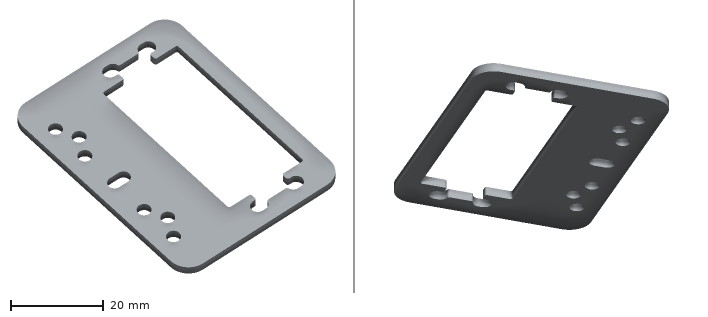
import cadquery as cq

LENGTH = 60.0
WIDTH = 45.0
THICKNESS = 2.05
CORNER_RADIUS = 5.0

WINDOW_LENGTH = 42.85
WINDOW_WIDTH = 21.1
WINDOW_Y = 7.5
RECESS_HALF_LENGTH = 25.0
RECESS_WIDTH = 8.8
LOBE_LENGTH = 4.2
LOBE_WIDTH = 3.35
LOBE_SPACING = 10.0
EDGE_RADIUS = 0.5
PICK_REACH = 0.03

HOLE_DIAMETER = 3.25
LOWER_ROW_Y = -17.5
UPPER_ROW_Y = -15.0
LOWER_HOLE_XS = (10.0, 20.0)
UPPER_HOLE_X = sum(LOWER_HOLE_XS) / len(LOWER_HOLE_XS)


def make_plate():
    plate = cq.Workplane("XY").box(LENGTH, WIDTH, THICKNESS, centered=(True, True, False))
    return plate.edges("|Z").fillet(CORNER_RADIUS)


def round_corners(body, half_x, half_y):
    """Round the four vertical edges mirrored about the window centre."""
    for side_x in (-1, 1):
        for side_y in (-1, 1):
            x = side_x * half_x
            y = WINDOW_Y + side_y * half_y
            corner = cq.selectors.BoxSelector(
                (x - PICK_REACH, y - PICK_REACH, 0), (x + PICK_REACH, y + PICK_REACH, THICKNESS)
            )
            body = body.edges("|Z").edges(corner).fillet(EDGE_RADIUS)
    return body


def make_window():
    centre = cq.Workplane("XY").center(0, WINDOW_Y)
    window = centre.rect(WINDOW_LENGTH, WINDOW_WIDTH).extrude(THICKNESS)
    recess = centre.rect(2 * RECESS_HALF_LENGTH, RECESS_WIDTH).extrude(THICKNESS)
    lobes = (
        centre.rect(2 * RECESS_HALF_LENGTH, LOBE_SPACING, forConstruction=True)
        .vertices()
        .slot2D(LOBE_LENGTH, LOBE_WIDTH, 90)
        .extrude(THICKNESS)
    )
    window = window.union(recess).union(lobes)

    window = round_corners(window, WINDOW_LENGTH / 2, WINDOW_WIDTH / 2)
    window = round_corners(window, WINDOW_LENGTH / 2, RECESS_WIDTH / 2)
    window = round_corners(window, RECESS_HALF_LENGTH, (LOBE_SPACING - LOBE_LENGTH) / 2)
    return round_corners(window, RECESS_HALF_LENGTH - LOBE_WIDTH / 2, RECESS_WIDTH / 2)


def make_holes():
    centres = []
    for side in (-1, 1):
        centres.append((side * UPPER_HOLE_X, UPPER_ROW_Y))
        for x in LOWER_HOLE_XS:
            centres.append((side * x, LOWER_ROW_Y))
    return cq.Workplane("XY").pushPoints(centres).circle(HOLE_DIAMETER / 2).extrude(THICKNESS)


def make_slot():
    slot_length = UPPER_ROW_Y - LOWER_ROW_Y + HOLE_DIAMETER
    slot_y = (UPPER_ROW_Y + LOWER_ROW_Y) / 2
    return cq.Workplane("XY").center(0, slot_y).slot2D(slot_length, HOLE_DIAMETER, 90).extrude(THICKNESS)


result = make_plate().cut(make_window()).cut(make_holes()).cut(make_slot())